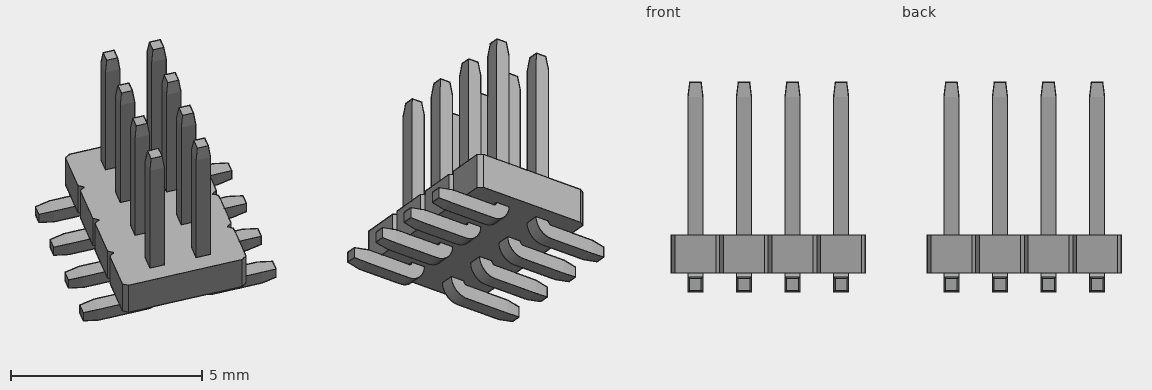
import cadquery as cq
import math

width = 5.08
foot_span = 5.3
height = 5.5

columns = 4
pitch = width / columns
column_places = [(i - (columns - 1) / 2) * pitch for i in range(columns)]

body_depth = 3.4
body_height = 1.0
notch_half_width = 0.1
notch_depth = 0.14

pin_size = 0.4
tip_size = 0.3
tip_length = 0.4
bend_inner_radius = 0.1
bend_outer_radius = bend_inner_radius + pin_size
tip_taper = math.degrees(math.atan((pin_size - tip_size) / 2 / tip_length))

foot_bottom = 0.0
body_bottom = foot_bottom + bend_outer_radius
foot_top = foot_bottom + pin_size
foot_middle = foot_bottom + pin_size / 2
post_shoulder = foot_bottom + height - tip_length

row_y = -pitch / 2
bend_center_y = row_y - pin_size / 2 - bend_inner_radius
foot_shoulder_y = -foot_span / 2 + tip_length


def make_body_segment(x):
    """One pin column of the body, with all four vertical edges cut off."""
    half_pitch = pitch / 2
    half_depth = body_depth / 2
    corner_x = half_pitch - notch_half_width
    corner_y = half_depth - notch_depth
    outline = [
        (-corner_x, -half_depth),
        (corner_x, -half_depth),
        (half_pitch, -corner_y),
        (half_pitch, corner_y),
        (corner_x, half_depth),
        (-corner_x, half_depth),
        (-half_pitch, corner_y),
        (-half_pitch, -corner_y),
    ]
    segment = cq.Workplane("XY").polyline(outline).close().extrude(body_height)
    return segment.translate((x, 0, body_bottom))


def make_tip(plane):
    """Tapered square tip that grows along the normal of the plane."""
    return cq.Workplane(plane).rect(pin_size, pin_size).extrude(tip_length, taper=tip_taper)


def make_pin():
    """Bent pin of the -Y row at X = 0: upright post, rounded bend and flat foot."""
    diagonal = math.sqrt(0.5)
    inner_middle = (
        bend_center_y + bend_inner_radius * diagonal,
        body_bottom - bend_inner_radius * diagonal,
    )
    outer_middle = (
        bend_center_y + bend_outer_radius * diagonal,
        body_bottom - bend_outer_radius * diagonal,
    )
    shank = (
        cq.Workplane("YZ")
        .moveTo(row_y - pin_size / 2, post_shoulder)
        .lineTo(row_y - pin_size / 2, body_bottom)
        .threePointArc(inner_middle, (bend_center_y, foot_top))
        .lineTo(foot_shoulder_y, foot_top)
        .lineTo(foot_shoulder_y, foot_bottom)
        .lineTo(bend_center_y, foot_bottom)
        .threePointArc(outer_middle, (row_y + pin_size / 2, body_bottom))
        .lineTo(row_y + pin_size / 2, post_shoulder)
        .close()
        .extrude(pin_size / 2, both=True)
    )
    post_tip = make_tip(cq.Plane((0, row_y, post_shoulder), (1, 0, 0), (0, 0, 1)))
    foot_tip = make_tip(cq.Plane((0, foot_shoulder_y, foot_middle), (1, 0, 0), (0, -1, 0)))
    return shank.union(post_tip).union(foot_tip)


front_pin = make_pin()
back_pin = front_pin.mirror("XZ")

result = make_body_segment(column_places[0])
for x in column_places[1:]:
    result = result.union(make_body_segment(x))
for x in column_places:
    result = result.union(front_pin.translate((x, 0, 0)))
    result = result.union(back_pin.translate((x, 0, 0)))
result = result.clean()